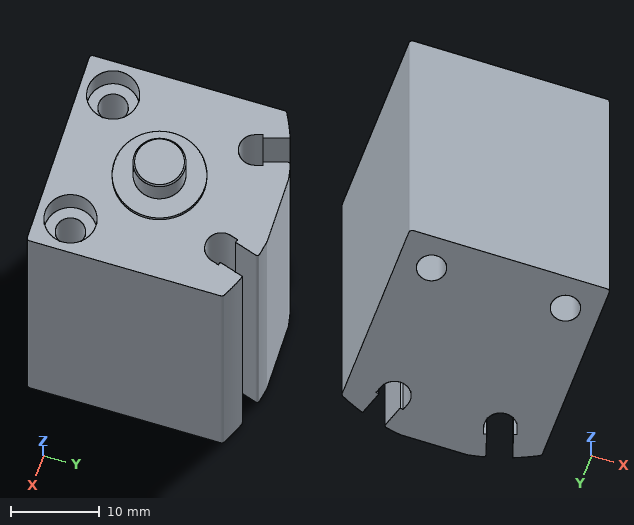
import cadquery as cq
import math

WIDTH = 24.0
BACK_Y = 14.0
HOUSING_HEIGHT = 40.95
TOTAL_HEIGHT = 45.0
CORNER_RADIUS = 0.4

CROWN_RADIUS = 25.0
FLAT_HALF_WIDTH = 4.0

SLOT_X = 6.35
SLOT_Y = 9.3
SLOT_TILT = 17.5
CHANNEL_DIAMETER = 3.8
CHANNEL_SHOULDER = 0.9
NECK_WIDTH = 3.0
NECK_LENGTH = 6.75
TONGUE_RADIUS = 0.25
TONGUE_SEARCH = 0.68

HOLE_OFFSET = 8.0
HOLE_DIAMETER = 3.4
COUNTERBORE_DIAMETER = 6.0
COUNTERBORE_DEPTH = 3.6

COLLAR_DIAMETER = 10.7
COLLAR_HEIGHT = 0.5
ROD_DIAMETER = 6.0
ROD_CHAMFER = 0.2

half_width = WIDTH / 2
crown_center_y = BACK_Y - math.sqrt(CROWN_RADIUS**2 - FLAT_HALF_WIDTH**2)


def crown_point(x):
    """Point of the crowning arc at the given X."""
    return x, crown_center_y + math.sqrt(CROWN_RADIUS**2 - x**2)


def make_block():
    """Square block with a crowned back and rounded vertical corners."""
    middle_x = (half_width + FLAT_HALF_WIDTH) / 2
    return (
        cq.Workplane("XY")
        .moveTo(-half_width, -half_width)
        .lineTo(half_width, -half_width)
        .lineTo(*crown_point(half_width))
        .threePointArc(crown_point(middle_x), crown_point(FLAT_HALF_WIDTH))
        .lineTo(*crown_point(-FLAT_HALF_WIDTH))
        .threePointArc(crown_point(-middle_x), crown_point(-half_width))
        .close()
        .extrude(HOUSING_HEIGHT)
        .edges("|Z and (<X or >X)")
        .fillet(CORNER_RADIUS)
    )


def make_slot(side):
    """Cutter for one full-height sensor slot; side is -1 or 1 along X."""
    radius = CHANNEL_DIAMETER / 2
    neck_half = NECK_WIDTH / 2
    return (
        cq.Workplane("XY")
        .moveTo(-radius, 0)
        .threePointArc((0, -radius), (radius, 0))
        .lineTo(radius, CHANNEL_SHOULDER)
        .lineTo(neck_half, CHANNEL_SHOULDER)
        .lineTo(neck_half, NECK_LENGTH)
        .lineTo(-neck_half, NECK_LENGTH)
        .lineTo(-neck_half, CHANNEL_SHOULDER)
        .lineTo(-radius, CHANNEL_SHOULDER)
        .close()
        .extrude(HOUSING_HEIGHT)
        .rotate((0, 0, 0), (0, 0, 1), -side * SLOT_TILT)
        .translate((side * SLOT_X, SLOT_Y, 0))
    )


def round_tongue(housing):
    """Round the two outer back edges of the tongue between the slots."""
    tilt = math.radians(SLOT_TILT)
    wall_x = SLOT_X - NECK_WIDTH / 2 * math.cos(tilt)
    wall_y = SLOT_Y + NECK_WIDTH / 2 * math.sin(tilt)
    tip_x = wall_x + (crown_point(wall_x)[1] - wall_y) * math.tan(tilt)
    tip_y = crown_point(tip_x)[1]
    for side in (-1, 1):
        near_tip = cq.selectors.BoxSelector(
            (side * tip_x - TONGUE_SEARCH, tip_y - TONGUE_SEARCH, 0),
            (side * tip_x + TONGUE_SEARCH, tip_y + TONGUE_SEARCH, HOUSING_HEIGHT),
        )
        housing = housing.edges("|Z").edges(near_tip).fillet(TONGUE_RADIUS)
    return housing


def make_housing():
    """Block with sensor slots, mounting holes and a collar around the rod."""
    housing = make_block()
    for side in (-1, 1):
        housing = housing.cut(make_slot(side))
    housing = round_tongue(housing)
    housing = (
        housing.faces(">Z")
        .workplane(origin=(0, 0, HOUSING_HEIGHT))
        .pushPoints([(-HOLE_OFFSET, -HOLE_OFFSET), (HOLE_OFFSET, -HOLE_OFFSET)])
        .cboreHole(HOLE_DIAMETER, COUNTERBORE_DIAMETER, COUNTERBORE_DEPTH)
    )
    collar = (
        cq.Workplane("XY", origin=(0, 0, HOUSING_HEIGHT))
        .circle(COLLAR_DIAMETER / 2)
        .circle(ROD_DIAMETER / 2)
        .extrude(COLLAR_HEIGHT)
    )
    return housing.union(collar)


def make_rod():
    """Chamfered rod seated in the collar."""
    return (
        cq.Workplane("XY", origin=(0, 0, HOUSING_HEIGHT))
        .circle(ROD_DIAMETER / 2)
        .extrude(TOTAL_HEIGHT - HOUSING_HEIGHT)
        .faces(">Z")
        .chamfer(ROD_CHAMFER)
    )


housing = make_housing()
rod = make_rod()
result = cq.Compound.makeCompound([housing.val(), rod.val()])